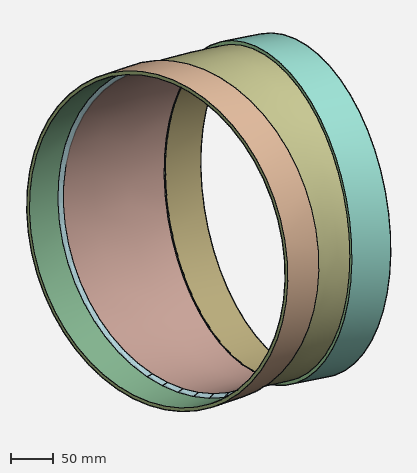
import cadquery as cq
import math

PIPE_DIAMETER = 400.0
WALL = 4.5
SOCKET_DEPTH = 50.0
BEND_RADIUS = 400.0
BEND_ANGLE = 15.0

pipe_radius = PIPE_DIAMETER / 2
bore_radius = pipe_radius - WALL
socket_radius = pipe_radius + WALL
socket_length = SOCKET_DEPTH + WALL

bend_angle_rad = math.radians(BEND_ANGLE)
bend_entry = (0, socket_length, 0)
bend_exit = (
    BEND_RADIUS * (1 - math.cos(bend_angle_rad)),
    socket_length + BEND_RADIUS * math.sin(bend_angle_rad),
    0,
)
entry_direction = (0, -1, 0)
exit_direction = (math.sin(bend_angle_rad), math.cos(bend_angle_rad), 0)


def make_bend():
    """Hollow toroidal elbow, turned about an axis parallel to Z."""
    section = cq.Workplane("XZ", origin=bend_entry).circle(pipe_radius).circle(bore_radius)
    return section.revolve(BEND_ANGLE, (BEND_RADIUS, 1, 0), (BEND_RADIUS, 0, 0))


def make_socket(bend_end, outward):
    """Socket opening outward from one end of the bend, with a rounded shoulder at its base."""
    profile_plane = cq.Plane(origin=bend_end, xDir=(0, 0, 1), normal=(-outward[1], outward[0], 0))
    diagonal = WALL * math.sqrt(0.5)
    profile = (
        cq.Workplane(profile_plane)
        .moveTo(bore_radius, 0)
        .threePointArc((pipe_radius - diagonal, diagonal), (pipe_radius, WALL))
        .lineTo(pipe_radius, socket_length)
        .lineTo(socket_radius, socket_length)
        .lineTo(socket_radius, 0)
        .close()
    )
    return profile.revolve(360, (0, 0, 0), (0, 1, 0))


inlet_socket = make_socket(bend_entry, entry_direction)
outlet_socket = make_socket(bend_exit, exit_direction)

result = make_bend().union(inlet_socket).union(outlet_socket)